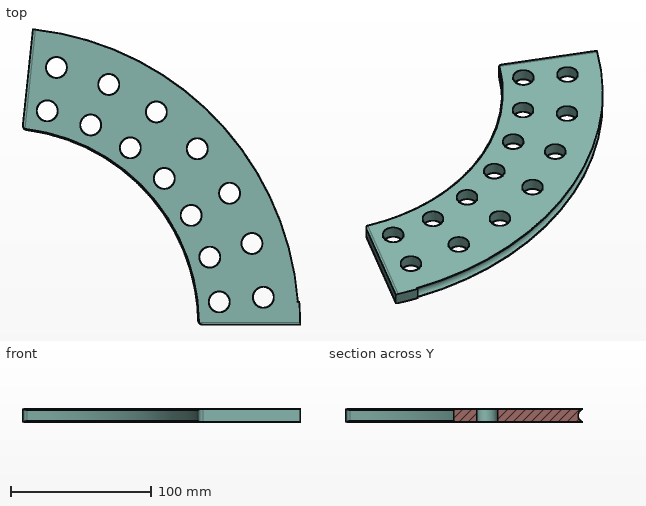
import cadquery as cq
import math

thickness = 9.5
inner_radius = 140.0
sector_angle = 84.0
overall_length = 210.8

corner_radius = 3.4

rim_chamfer = 0.8
end_chamfer_run = 1.7
end_chamfer_drop = 0.5

stop_radius = 213.0
stop_length = 16.5

groove_radius = 5.0
groove_depth = 2.5

hole_diameter = 14.8
hole_row_radii = (156.0, 187.7)
holes_per_row = 7

half_thickness = thickness / 2
outer_radius = overall_length / math.sin(math.radians(sector_angle))
groove_centre_radius = outer_radius - groove_depth + groove_radius
stop_angle = math.degrees(math.asin(stop_length / stop_radius))
hole_pitch_angle = sector_angle / holes_per_row

clearance = 2.1


def polar(radius, angle):
    """Point at the given radius and angle in degrees."""
    turn = math.radians(angle)
    return (radius * math.cos(turn), radius * math.sin(turn))


def add_arc(outline, radius, start_angle, end_angle):
    """Continue the outline along an arc about the Z axis."""
    middle_angle = (start_angle + end_angle) / 2
    return outline.threePointArc(polar(radius, middle_angle), polar(radius, end_angle))


def sector_plate():
    """Ring sector lying midway on the XY plane, with the stop and rounded inner corners."""
    outline = cq.Workplane("XY", origin=(0, 0, -half_thickness)).moveTo(*polar(inner_radius, 0))
    outline = outline.lineTo(*polar(stop_radius, 0))
    outline = add_arc(outline, stop_radius, 0, stop_angle)
    outline = outline.lineTo(*polar(outer_radius, stop_angle))
    outline = add_arc(outline, outer_radius, stop_angle, sector_angle)
    outline = outline.lineTo(*polar(inner_radius, sector_angle))
    outline = add_arc(outline, inner_radius, sector_angle, 0)
    plate = outline.close().extrude(thickness)
    for angle in (0, sector_angle):
        corner = (*polar(inner_radius, angle), 0)
        plate = plate.edges(cq.selectors.NearestToPointSelector(corner)).fillet(corner_radius)
    return plate


def rim_chamfer_cutter():
    """Ring that bevels the top edge of the inner rim at 45 degrees."""
    below_face = rim_chamfer + clearance
    return (
        cq.Workplane("XZ")
        .moveTo(inner_radius - clearance, half_thickness - below_face)
        .lineTo(inner_radius + below_face, half_thickness + clearance)
        .lineTo(inner_radius - clearance, half_thickness + clearance)
        .close()
        .revolve(360, (0, 0, 0), (0, 1, 0))
    )


def end_chamfer_cutter():
    """Bar along +X that bevels the top edge of the end at angle 0."""
    bevel_start = half_thickness - end_chamfer_drop
    return (
        cq.Workplane("YZ")
        .moveTo(0, bevel_start)
        .lineTo(end_chamfer_run, half_thickness)
        .lineTo(end_chamfer_run, half_thickness + clearance)
        .lineTo(-clearance, half_thickness + clearance)
        .lineTo(-clearance, bevel_start)
        .close()
        .extrude(stop_radius + clearance)
    )


def groove_cutter():
    """Round bar bent along the outer rim, from the stop out past the far end."""
    sweep_angle = sector_angle - stop_angle + math.degrees(clearance / outer_radius)
    return (
        cq.Workplane("XZ")
        .center(groove_centre_radius, 0)
        .circle(groove_radius)
        .revolve(sweep_angle, (-groove_centre_radius, 0, 0), (-groove_centre_radius, 1, 0))
        .rotate((0, 0, 0), (0, 0, 1), stop_angle)
    )


def hole_cutters():
    """Pins for every hole in both rows, half a pitch in from each end."""
    centres = [
        polar(radius, (index + 0.5) * hole_pitch_angle)
        for radius in hole_row_radii
        for index in range(holes_per_row)
    ]
    return (
        cq.Workplane("XY", origin=(0, 0, -half_thickness))
        .pushPoints(centres)
        .circle(hole_diameter / 2)
        .extrude(thickness)
    )


near_end_bevel = end_chamfer_cutter()
far_end_bevel = near_end_bevel.mirror("XZ").rotate((0, 0, 0), (0, 0, 1), sector_angle)

result = sector_plate()
for cutter in (rim_chamfer_cutter(), near_end_bevel, far_end_bevel):
    result = result.cut(cutter).cut(cutter.mirror("XY"))
result = result.cut(groove_cutter()).cut(hole_cutters())